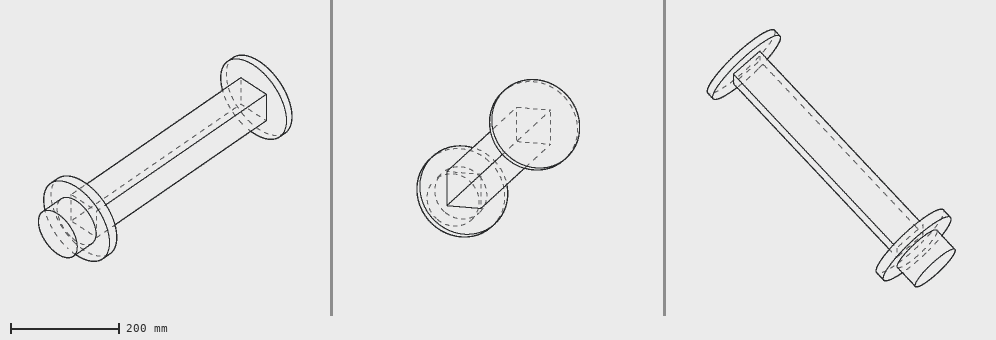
import cadquery as cq

total_length = 535.0
flange_diameter = 170.0
spigot_diameter = 100.5
spigot_length = 50.0
front_flange_thickness = 20.0
rear_flange_thickness = 15.0
beam_width = 66.0

front_flange_start = spigot_length
beam_start = front_flange_start + front_flange_thickness
rear_flange_start = total_length - rear_flange_thickness
beam_length = rear_flange_start - beam_start


def section_at(y):
    """Sketch plane normal to +Y at distance y along the axis."""
    return cq.Workplane(cq.Plane(origin=(0, y, 0), xDir=(1, 0, 0), normal=(0, 1, 0)))


def disc(start, diameter, thickness):
    """Round disc on the part's axis, extending towards +Y."""
    return section_at(start).circle(diameter / 2).extrude(thickness)


spigot = disc(0, spigot_diameter, spigot_length)
front_flange = disc(front_flange_start, flange_diameter, front_flange_thickness)
beam = section_at(beam_start).rect(beam_width, beam_width).extrude(beam_length)
rear_flange = disc(rear_flange_start, flange_diameter, rear_flange_thickness)

result = spigot.union(front_flange).union(beam).union(rear_flange)